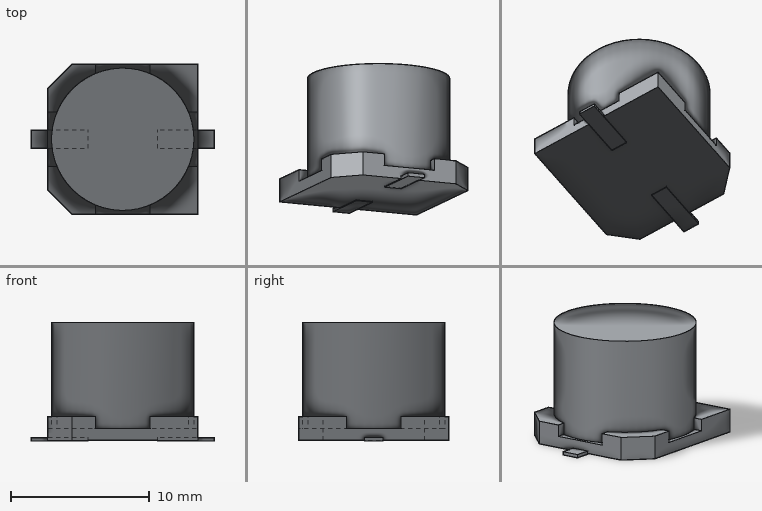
import cadquery as cq


base_width = 10.8
base_height = 1.7
corner_chamfer = 1.73
notch_width = 3.93
seat_height = 0.85

can_diameter = 10.25
can_top = 8.5
can_height = can_top - seat_height

lead_span = 13.21
lead_length = 4.1
lead_width = 1.3
lead_thickness = 0.25
lead_standoff = 0.06
lead_center_x = (lead_span - lead_length) / 2


def make_can():
    """Plain cylinder standing on the seat of the base."""
    return cq.Workplane("XY", origin=(0, 0, seat_height)).circle(can_diameter / 2).extrude(can_height)


def make_lead(side):
    """Flat strip let into the underside of the base; side is -1 or +1 along X."""
    return (
        cq.Workplane("XY", origin=(side * lead_center_x, 0, -lead_standoff))
        .rect(lead_length, lead_width)
        .extrude(lead_thickness)
    )


def make_base(can, leads):
    """Square plate with two chamfered corners, a can seat, side notches and lead slots."""
    plate = (
        cq.Workplane("XY")
        .rect(base_width, base_width)
        .extrude(base_height)
        .edges("|Z and <X")
        .chamfer(corner_chamfer)
    )

    seat_plane = cq.Workplane("XY", origin=(0, 0, seat_height))
    notch_depth = base_height - seat_height
    plate = plate.cut(seat_plane.rect(base_width, notch_width).extrude(notch_depth))
    plate = plate.cut(seat_plane.rect(notch_width, base_width).extrude(notch_depth))

    plate = plate.cut(can)
    for lead in leads:
        plate = plate.cut(lead)
    return plate


can = make_can()
leads = [make_lead(side) for side in (-1, 1)]
base = make_base(can, leads)

result = cq.Compound.makeCompound([base.solids().val(), can.val(), *[lead.val() for lead in leads]])